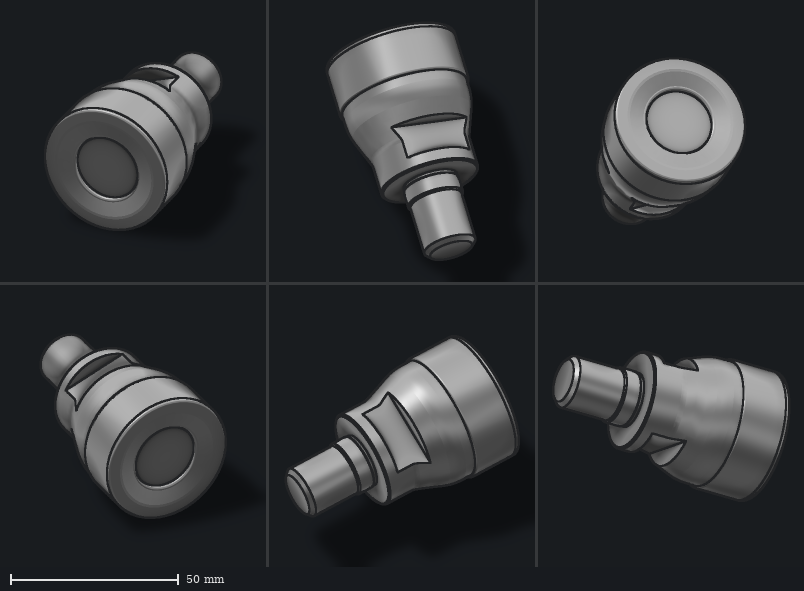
import cadquery as cq
import math


BODY_R = 39.9 / 2
SHOULDER_R = 38.6 / 2
FLANGE_R = 30.0 / 2
COLLAR_R = 17.0 / 2
NECK_R = 16.6 / 2
SHANK_R = 16.0 / 2

RIM_Y = 15.5
SHOULDER_Y = 18.6
CONE_START_Y = 23.75
CONE_END_Y = 32.3
FLANGE_FRONT_Y = 33.9
FLANGE_BACK_Y = 43.15
COLLAR_FRONT_Y = 44.2
COLLAR_BACK_Y = 49.6
SHANK_END_Y = 66.0

RIM_ROUND = BODY_R - SHOULDER_R
FLANGE_CHAMFER = 0.45
COLLAR_FRONT_CHAMFER = COLLAR_R - NECK_R
COLLAR_BACK_CHAMFER = COLLAR_R - SHANK_R
SHANK_CHAMFER = 1.45
CONE_ANGLE = math.radians(20)

FLAT_FRONT_Y = 28.8
FLAT_BACK_Y = 39.1
FLAT_DISTANCE = 22.0
FLAT_TILT = -20.0

RING_RIM_Y = 1.5
RING_BACK_Y = 2.45
SPIGOT_R = 16.25
RING_EDGE_ROUND = 0.8
DISH_OUTER_R = 16.25
DISH_EDGE_R = 15.45
DISH_EDGE_DEPTH = 0.1
DISH_INNER_R = 11.1
DISH_DEPTH = 1.05
BORE_R = 10.0
BORE_ROUND = 0.8


def point_on_circle(center, radius, angle):
    """Point at the given angle on a circle about center, as (distance from the axis, Y)."""
    return (center[0] + radius * math.cos(angle), center[1] + radius * math.sin(angle))


def revolve_about_y(profile):
    return profile.close().revolve(360, (0, 0, 0), (0, 1, 0))


def make_housing_blank():
    shoulder_round = (CONE_START_Y - SHOULDER_Y) / math.sin(CONE_ANGLE)
    shoulder_center = (SHOULDER_R - shoulder_round, SHOULDER_Y)
    cone_start = point_on_circle(shoulder_center, shoulder_round, CONE_ANGLE)

    neck_round = (FLANGE_FRONT_Y - CONE_END_Y) / math.sin(CONE_ANGLE)
    neck_center = (FLANGE_R + neck_round, FLANGE_FRONT_Y)
    cone_end = point_on_circle(neck_center, neck_round, math.pi + CONE_ANGLE)

    rim_center = (SHOULDER_R, RIM_Y - RIM_ROUND)
    profile = (
        cq.Workplane("XY")
        .moveTo(0, RING_BACK_Y)
        .lineTo(SPIGOT_R, RING_BACK_Y)
        .lineTo(SPIGOT_R, RING_RIM_Y)
        .lineTo(BODY_R, RING_RIM_Y)
        .lineTo(BODY_R, RIM_Y - RIM_ROUND)
        .threePointArc(point_on_circle(rim_center, RIM_ROUND, math.pi / 4), (SHOULDER_R, RIM_Y))
        .lineTo(SHOULDER_R, SHOULDER_Y)
        .threePointArc(point_on_circle(shoulder_center, shoulder_round, CONE_ANGLE / 2), cone_start)
        .lineTo(*cone_end)
        .threePointArc(
            point_on_circle(neck_center, neck_round, math.pi + CONE_ANGLE / 2), (FLANGE_R, FLANGE_FRONT_Y)
        )
        .lineTo(FLANGE_R, FLANGE_BACK_Y - FLANGE_CHAMFER)
        .lineTo(FLANGE_R - FLANGE_CHAMFER, FLANGE_BACK_Y)
        .lineTo(NECK_R, FLANGE_BACK_Y)
        .lineTo(NECK_R, COLLAR_FRONT_Y)
        .lineTo(COLLAR_R, COLLAR_FRONT_Y + COLLAR_FRONT_CHAMFER)
        .lineTo(COLLAR_R, COLLAR_BACK_Y - COLLAR_BACK_CHAMFER)
        .lineTo(SHANK_R, COLLAR_BACK_Y)
        .lineTo(SHANK_R, SHANK_END_Y - SHANK_CHAMFER)
        .lineTo(SHANK_R - SHANK_CHAMFER, SHANK_END_Y)
        .lineTo(0, SHANK_END_Y)
    )
    return revolve_about_y(profile)


def cut_wrench_flats(housing):
    length = FLAT_BACK_Y - FLAT_FRONT_Y
    middle_y = (FLAT_FRONT_Y + FLAT_BACK_Y) / 2
    cutter_height = BODY_R
    for side in (1, -1):
        cutter = (
            cq.Workplane("XY")
            .box(2 * BODY_R, length, cutter_height)
            .translate((0, middle_y, side * (FLAT_DISTANCE + cutter_height) / 2))
            .rotate((0, 0, 0), (0, 1, 0), FLAT_TILT)
        )
        housing = housing.cut(cutter)
    return housing


def make_front_ring():
    edge_center = (BODY_R - RING_EDGE_ROUND, RING_EDGE_ROUND)
    bore_center = (BORE_R + BORE_ROUND, DISH_DEPTH + BORE_ROUND)
    profile = (
        cq.Workplane("XY")
        .moveTo(BORE_R, RING_BACK_Y)
        .lineTo(SPIGOT_R, RING_BACK_Y)
        .lineTo(SPIGOT_R, RING_RIM_Y)
        .lineTo(BODY_R, RING_RIM_Y)
        .lineTo(BODY_R, RING_EDGE_ROUND)
        .threePointArc(point_on_circle(edge_center, RING_EDGE_ROUND, -math.pi / 4), (edge_center[0], 0))
        .lineTo(DISH_OUTER_R, 0)
        .lineTo(DISH_EDGE_R, DISH_EDGE_DEPTH)
        .lineTo(DISH_INNER_R, DISH_DEPTH)
        .lineTo(bore_center[0], DISH_DEPTH)
        .threePointArc(
            point_on_circle(bore_center, BORE_ROUND, -3 * math.pi / 4), (BORE_R, bore_center[1])
        )
    )
    return revolve_about_y(profile)


housing = cut_wrench_flats(make_housing_blank())
front_ring = make_front_ring()

result = cq.Compound.makeCompound([housing.solids().val(), front_ring.val()])